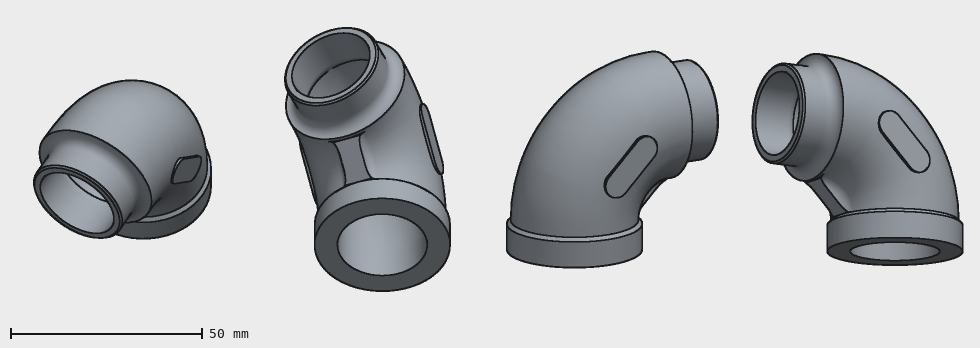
import cadquery as cq
import math

bend_radius = 25.0
tube_radius = 16.75
tube_bore_radius = 11.75

socket_radius = 17.75
socket_height = 8.0
socket_chamfer = socket_radius - tube_radius

collar_length = 1.0
spigot_radius = 13.2
spigot_bore_radius = 11.0
spigot_reach = 36.0
root_fillet = 3.0
end_chamfer = 0.5
mouth_fillet = 3.0

web_thickness = 6.0
web_fillet = 3.0
web_start_radius = 1.0

pad_width = 7.0
pad_length = 19.0
pad_face_x = 17.15
pad_bend_radius = 24.75
pad_angle = 45.0

bend_y = -bend_radius
bend_z = socket_height
spigot_z = bend_z + bend_radius
collar_y = bend_y - collar_length


def bend(radius):
    """Quarter torus with the given section radius, rising from the socket."""
    section = cq.Workplane("XY", origin=(0, 0, bend_z)).circle(radius)
    return section.revolve(90, (0, bend_y), (1, bend_y))


def socket():
    """Plain ring with a chamfered upper edge."""
    ring = cq.Workplane("XY").circle(socket_radius).extrude(socket_height)
    return ring.faces(">Z").chamfer(socket_chamfer)


def spigot():
    """Collar, concave root blend and chamfered pipe end, turned about the outlet axis."""
    blend_end_y = collar_y - root_fillet
    blend_offset = root_fillet * (1 - math.sqrt(0.5))
    profile = (
        cq.Workplane("YZ", origin=(0, 0, spigot_z))
        .moveTo(bend_y, 0)
        .lineTo(bend_y, tube_radius)
        .lineTo(collar_y, tube_radius)
        .lineTo(collar_y, spigot_radius + root_fillet)
        .threePointArc(
            (collar_y - blend_offset, spigot_radius + blend_offset),
            (blend_end_y, spigot_radius),
        )
        .lineTo(-spigot_reach + end_chamfer, spigot_radius)
        .lineTo(-spigot_reach, spigot_radius - end_chamfer)
        .lineTo(-spigot_reach, 0)
        .close()
    )
    return profile.revolve(360, (0, 0), (1, 0))


def web():
    """Filleted web that follows the bend, cut flat between the socket and the collar."""
    half = web_thickness / 2
    fillet_x = half + web_fillet
    centre_distance = tube_radius + web_fillet
    fillet_drop = math.sqrt(centre_distance**2 - fillet_x**2)
    fillet_y = -fillet_drop
    tangent_x = fillet_x * tube_radius / centre_distance
    tangent_y = fillet_y * tube_radius / centre_distance
    mid_angle = (math.pi + math.atan2(fillet_drop, -fillet_x)) / 2
    mid_x = fillet_x + web_fillet * math.cos(mid_angle)
    mid_y = fillet_y + web_fillet * math.sin(mid_angle)
    inner_y = web_start_radius - bend_radius

    ring = (
        cq.Workplane("XY", origin=(0, 0, bend_z))
        .moveTo(-half, inner_y)
        .lineTo(half, inner_y)
        .lineTo(half, fillet_y)
        .threePointArc((mid_x, mid_y), (tangent_x, tangent_y))
        .lineTo(-tangent_x, tangent_y)
        .threePointArc((-mid_x, mid_y), (-half, fillet_y))
        .close()
        .revolve(90, (0, bend_y), (1, bend_y))
    )
    corner = (
        cq.Workplane("YZ")
        .polyline([
            (-tube_radius, bend_z),
            (0, bend_z),
            (bend_y, spigot_z),
            (bend_y, spigot_z - tube_radius),
        ])
        .close()
        .extrude(tube_radius, both=True)
    )
    return ring.intersect(corner)


def pads():
    """Oblong pads, flat on both flanks, lying along the bend at its middle."""
    pad_y = bend_y + pad_bend_radius * math.cos(math.radians(pad_angle))
    pad_z = bend_z + pad_bend_radius * math.sin(math.radians(pad_angle))
    return (
        cq.Workplane("YZ", origin=(0, pad_y, pad_z))
        .slot2D(pad_length, pad_width, 90 + pad_angle)
        .extrude(pad_face_x, both=True)
    )


def outlet_cylinder(radius, start_y, end_y):
    """Cylinder on the outlet axis, running in -Y from start_y to end_y."""
    section = cq.Workplane("XZ", origin=(0, start_y, spigot_z)).circle(radius)
    return section.extrude(start_y - end_y)


def mouth_lip():
    """Rounded ring of material at the inner end of the spigot bore."""
    lip_radius = spigot_bore_radius + mouth_fillet
    lip_end_y = collar_y + mouth_fillet
    arc_offset = mouth_fillet * math.sqrt(0.5)
    profile = (
        cq.Workplane("YZ", origin=(0, 0, spigot_z))
        .moveTo(collar_y, spigot_bore_radius)
        .threePointArc(
            (collar_y + arc_offset, lip_radius - arc_offset),
            (lip_end_y, lip_radius),
        )
        .lineTo(collar_y, lip_radius)
        .close()
    )
    return profile.revolve(360, (0, 0), (1, 0))


def passage():
    """Socket, bend and collar bores, narrowed by the rounded lip to the spigot bore."""
    foot_bore = cq.Workplane("XY").circle(tube_bore_radius).extrude(socket_height)
    collar_bore = outlet_cylinder(tube_bore_radius, bend_y, collar_y)
    spigot_bore = outlet_cylinder(spigot_bore_radius, collar_y, -spigot_reach)
    wide_bore = foot_bore.union(bend(tube_bore_radius)).union(collar_bore)
    return wide_bore.cut(mouth_lip()).union(spigot_bore)


body = bend(tube_radius).union(socket()).union(spigot()).union(web()).union(pads())
result = body.cut(passage())